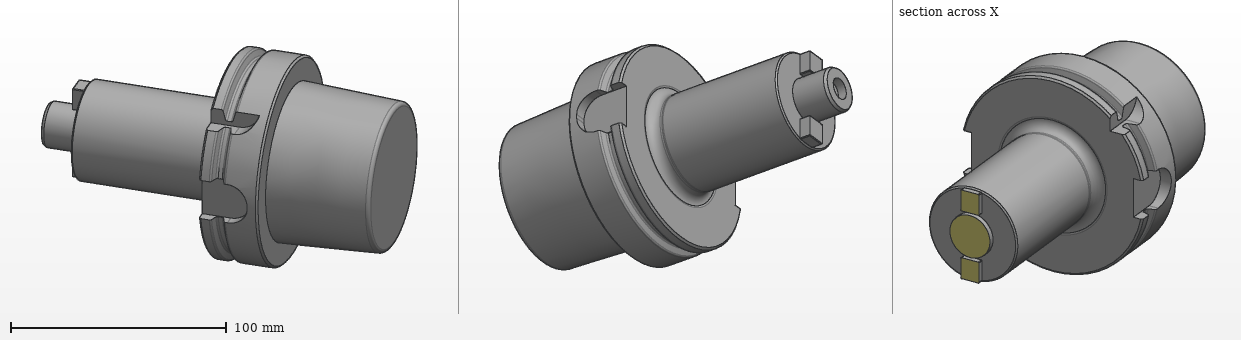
import cadquery as cq
import math


shank_length = 50.0
shank_root_radius = 38.125
shank_taper_per_length = 0.05
shank_end_round = 2.0

flange_radius = 50.0
flange_width = 29.0
flange_chamfer = 1.0
groove_x = -20.0
groove_floor_radius = 45.8
groove_floor_half_width = 1.7
groove_wall_angle = 20.0
groove_round = 1.0

slot_end_x = -5.0
slot_corner_radius = 10.0
slot_floor_distance = 44.0
front_slot_width = 2 * slot_corner_radius
rear_slot_width = 22.0
notch_corner_distance = 31.3

arbor_seat_x = -100.0
arbor_radius = 24.0
arbor_edge_chamfer = 0.75
undercut_depth = 0.25
undercut_ramp_angle = 15.0
undercut_fillet = 5.0
undercut_flat = 1.0

pilot_radius = 11.0
pilot_length = 19.0
pilot_chamfer_length = 1.5
pilot_chamfer_angle = 30.0
pilot_hole_diameter = 10.5
pilot_hole_depth = 4.5

key_width = 10.0
key_height = 5.6
key_inner_distance = 12.0
key_outer_distance = 23.1
key_end_chamfer = 0.4

flange_face_x = -flange_width
undercut_floor_x = flange_face_x + undercut_depth
undercut_radius = arbor_radius - undercut_depth
undercut_top_radius = undercut_radius + undercut_fillet
undercut_ramp_run = undercut_depth / math.tan(math.radians(undercut_ramp_angle))
pilot_tip_x = arbor_seat_x - pilot_length


def revolve_about_x(outline):
    """Turn an open (x, radius) outline, once closed, about the X axis."""
    return outline.close().revolve(360, (0, 0, 0), (1, 0, 0))


def make_shank():
    end_radius = shank_root_radius - shank_taper_per_length * shank_length
    cone = revolve_about_x(
        cq.Workplane("XZ")
        .lineTo(0, shank_root_radius)
        .lineTo(shank_length, end_radius)
        .lineTo(shank_length, 0)
    )
    return cone.faces(">X").edges().fillet(shank_end_round)


def make_flange():
    """Chamfered disc with a rounded V groove around its rim."""
    groove_depth = flange_radius - groove_floor_radius
    wall_run = groove_depth * math.tan(math.radians(groove_wall_angle))
    rim_half_width = groove_floor_half_width + wall_run
    disc = revolve_about_x(
        cq.Workplane("XZ")
        .moveTo(flange_face_x, 0)
        .lineTo(flange_face_x, flange_radius - flange_chamfer)
        .lineTo(flange_face_x + flange_chamfer, flange_radius)
        .lineTo(groove_x - rim_half_width, flange_radius)
        .lineTo(groove_x - groove_floor_half_width, groove_floor_radius)
        .lineTo(groove_x + groove_floor_half_width, groove_floor_radius)
        .lineTo(groove_x + rim_half_width, flange_radius)
        .lineTo(-flange_chamfer, flange_radius)
        .lineTo(0, flange_radius - flange_chamfer)
        .lineTo(0, 0)
    )
    box_margin = 1.0
    groove_edges = cq.selectors.BoxSelector(
        (groove_x - rim_half_width - box_margin, -box_margin, -box_margin),
        (groove_x + rim_half_width + box_margin, box_margin, box_margin),
    )
    return disc.edges(groove_edges).fillet(groove_round)


def make_slot_cutter(side, floor_distance, bottom_z, width):
    """Slot with rounded end corners, cut along Y into the rim on the +Y (1) or -Y (-1) side."""
    end_round_x = slot_end_x - slot_corner_radius
    top_z = bottom_z + width
    lower_round_z = bottom_z + slot_corner_radius
    upper_round_z = top_z - slot_corner_radius
    corner_mid = slot_corner_radius * math.sqrt(0.5)
    outline = (
        cq.Workplane("XZ", origin=(0, side * floor_distance, 0))
        .moveTo(flange_face_x, bottom_z)
        .lineTo(end_round_x, bottom_z)
        .threePointArc((end_round_x + corner_mid, lower_round_z - corner_mid), (slot_end_x, lower_round_z))
    )
    if upper_round_z > lower_round_z:
        outline = outline.lineTo(slot_end_x, upper_round_z)
    outline = (
        outline
        .threePointArc((end_round_x + corner_mid, upper_round_z + corner_mid), (end_round_x, top_z))
        .lineTo(flange_face_x, top_z)
        .close()
    )
    return outline.extrude(-side * flange_radius)


def make_flange_recess():
    """Shallow dish that sinks the undercut into the flange face."""
    return revolve_about_x(
        cq.Workplane("XZ")
        .moveTo(flange_face_x, 0)
        .lineTo(flange_face_x, undercut_top_radius + undercut_ramp_run)
        .lineTo(undercut_floor_x, undercut_top_radius)
        .lineTo(undercut_floor_x, 0)
    )


def make_arbor():
    """Cylinder with a lightly reduced root that flares out to the recessed flange face."""
    fillet_start_x = undercut_floor_x - undercut_fillet
    ramp_end_x = fillet_start_x - undercut_flat
    fillet_reach = undercut_fillet * math.sqrt(0.5)
    fillet_middle = (fillet_start_x + fillet_reach, undercut_top_radius - fillet_reach)
    return revolve_about_x(
        cq.Workplane("XZ")
        .moveTo(arbor_seat_x, 0)
        .lineTo(arbor_seat_x, arbor_radius - arbor_edge_chamfer)
        .lineTo(arbor_seat_x + arbor_edge_chamfer, arbor_radius)
        .lineTo(ramp_end_x - undercut_ramp_run, arbor_radius)
        .lineTo(ramp_end_x, undercut_radius)
        .lineTo(fillet_start_x, undercut_radius)
        .threePointArc(fillet_middle, (undercut_floor_x, undercut_top_radius))
        .lineTo(undercut_floor_x, 0)
    )


def make_pilot():
    chamfer_drop = pilot_chamfer_length * math.tan(math.radians(pilot_chamfer_angle))
    return revolve_about_x(
        cq.Workplane("XZ")
        .moveTo(pilot_tip_x, 0)
        .lineTo(pilot_tip_x, pilot_radius - chamfer_drop)
        .lineTo(pilot_tip_x + pilot_chamfer_length, pilot_radius)
        .lineTo(arbor_seat_x, pilot_radius)
        .lineTo(arbor_seat_x, 0)
    )


def make_pilot_hole():
    return (
        cq.Workplane("YZ", origin=(pilot_tip_x, 0, 0))
        .circle(pilot_hole_diameter / 2)
        .extrude(pilot_hole_depth)
    )


def make_key(side):
    """Key standing on the arbor face, above (1) or below (-1) the pilot, with chamfered ends."""
    middle_distance = (key_inner_distance + key_outer_distance) / 2
    key = cq.Workplane("XY").box(key_height, key_width, key_outer_distance - key_inner_distance)
    key = key.faces("<Z or >Z").edges("not >X").chamfer(key_end_chamfer)
    return key.translate((arbor_seat_x - key_height / 2, 0, side * middle_distance))


flange = make_flange().cut(make_flange_recess())
flange = flange.cut(make_slot_cutter(-1, slot_floor_distance, -front_slot_width / 2, front_slot_width))
flange = flange.cut(make_slot_cutter(1, slot_floor_distance, -rear_slot_width / 2, rear_slot_width))
flange = flange.cut(make_slot_cutter(-1, notch_corner_distance, notch_corner_distance, front_slot_width))

result = flange.union(make_shank()).union(make_arbor()).union(make_pilot())
for key_side in (1, -1):
    result = result.union(make_key(key_side))
result = result.cut(make_pilot_hole())